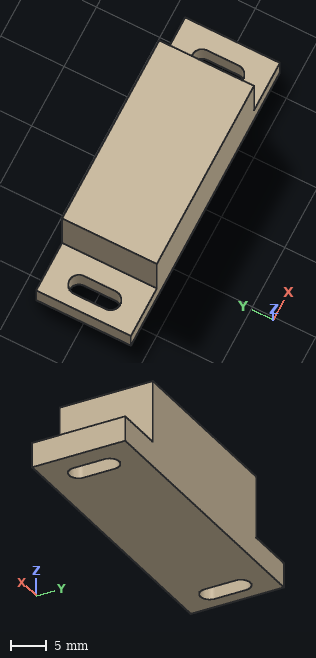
import cadquery as cq

length = 46.0
width = 15.0
height = 14.0

flange_thickness = 4.0
block_length = 30.0

slot_width = 3.0
slot_length = 8.0
slot_spacing = 38.0
slot_pair_offset = -0.5


def make_body():
    """Flat base plate with a full-width block centred on it."""
    base = cq.Workplane("XY").box(length, width, flange_thickness, centered=(True, True, False))
    block = cq.Workplane("XY").box(block_length, width, height, centered=(True, True, False))
    return base.union(block)


def make_slots():
    """Round-ended cutters passing through both flanges."""
    return (
        cq.Workplane("XY")
        .center(slot_pair_offset, 0)
        .pushPoints([(-slot_spacing / 2, 0), (slot_spacing / 2, 0)])
        .slot2D(slot_length, slot_width, angle=90)
        .extrude(flange_thickness)
    )


result = make_body().cut(make_slots())